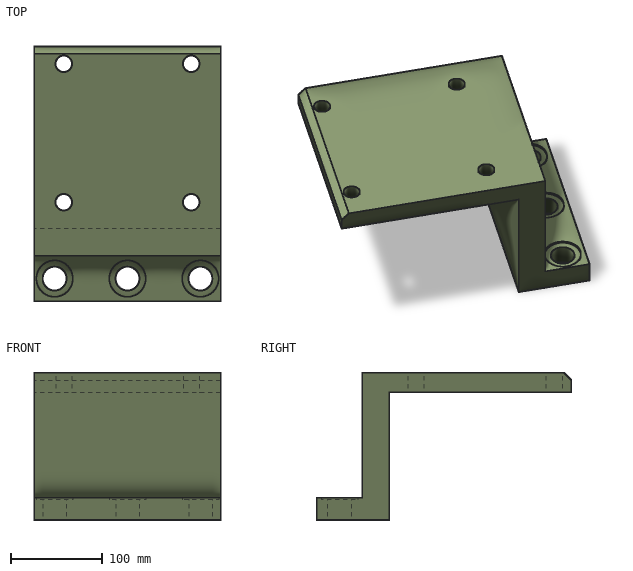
import cadquery as cq

width = 205.0
length = 280.0
height = 162.0

plate_thickness = 21.5
wall_thickness = 30.0
foot_length = 50.0
foot_thickness = 25.0
edge_chamfer = 8.0

plate_hole_diameter = 18.0
plate_hole_spacing_x = 140.0
plate_hole_spacing_y = 152.0
plate_hole_back_margin = 19.0

foot_hole_count = 3
foot_hole_diameter = 26.0
foot_hole_spacing = 80.0
spotface_diameter = 40.0
spotface_depth = 2.0

wall_back = foot_length + wall_thickness
plate_underside = height - plate_thickness
foot_hole_y = foot_length / 2
plate_holes_y = length - plate_hole_back_margin - plate_hole_spacing_y / 2


def bracket_body():
    """Z-shaped section extruded across the full width, chamfered at the plate's rear top edge."""
    outline = [
        (0, 0),
        (wall_back, 0),
        (wall_back, plate_underside),
        (length, plate_underside),
        (length, height - edge_chamfer),
        (length - edge_chamfer, height),
        (foot_length, height),
        (foot_length, foot_thickness),
        (0, foot_thickness),
    ]
    return cq.Workplane("YZ").polyline(outline).close().extrude(width / 2, both=True)


def plate_holes():
    """Four through holes at the corners of a rectangle in the upper plate."""
    return (
        cq.Workplane("XY", origin=(0, plate_holes_y, plate_underside))
        .rarray(plate_hole_spacing_x, plate_hole_spacing_y, 2, 2)
        .circle(plate_hole_diameter / 2)
        .extrude(plate_thickness)
    )


def foot_row(diameter, bottom):
    """Row of cylinders along the foot, from the given height up to its top face."""
    return (
        cq.Workplane("XY", origin=(0, foot_hole_y, bottom))
        .rarray(foot_hole_spacing, 2.8, foot_hole_count, 1)
        .circle(diameter / 2)
        .extrude(foot_thickness - bottom)
    )


result = (
    bracket_body()
    .cut(plate_holes())
    .cut(foot_row(foot_hole_diameter, 0))
    .cut(foot_row(spotface_diameter, foot_thickness - spotface_depth))
)